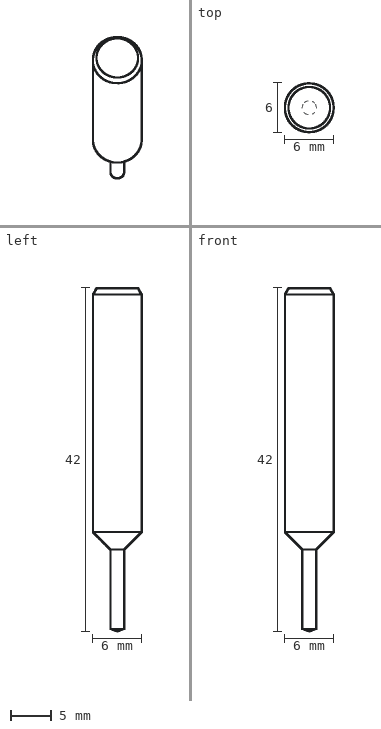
import cadquery as cq
import math

total_length = 42.0
shank_diameter = 6.0
drill_diameter = 1.72

drill_length = 10.0
point_angle = 140.0

neck_half_angle = 45.0
end_chamfer_length = 0.8
end_chamfer_half_angle = 30.0

shank_radius = shank_diameter / 2
drill_radius = drill_diameter / 2
point_height = drill_radius / math.tan(math.radians(point_angle / 2))
neck_height = (shank_radius - drill_radius) / math.tan(math.radians(neck_half_angle))
end_radius = shank_radius - end_chamfer_length * math.tan(math.radians(end_chamfer_half_angle))


def revolve_about_z(profile):
    """Turn a closed (radius, height) outline around the Z axis."""
    return cq.Workplane("XZ").polyline(profile).close().revolve(360, (0, 0), (0, 1))


def make_drill():
    """Slim cutting rod with a conical point, ending at the shank's neck."""
    return revolve_about_z([
        (0, 0),
        (drill_radius, point_height),
        (drill_radius, drill_length),
        (0, drill_length),
    ])


def make_shank():
    """Clamping cylinder with a conical neck below and a chamfered upper end."""
    return revolve_about_z([
        (0, drill_length),
        (drill_radius, drill_length),
        (shank_radius, drill_length + neck_height),
        (shank_radius, total_length - end_chamfer_length),
        (end_radius, total_length),
        (0, total_length),
    ])


drill = make_drill()
shank = make_shank()

result = cq.Compound.makeCompound([shank.val(), drill.val()])